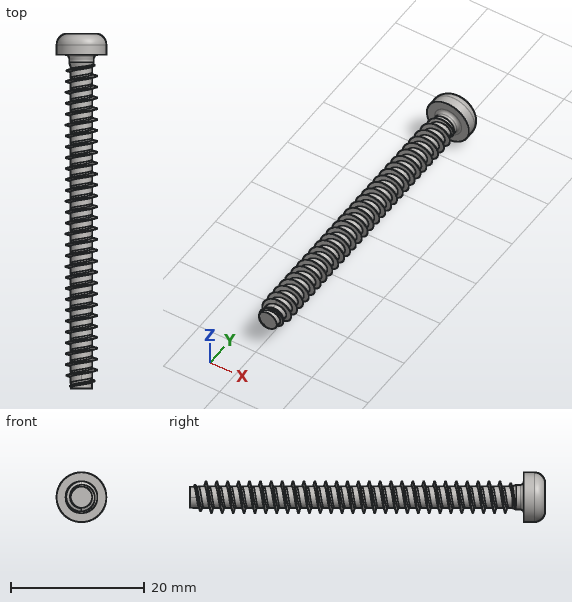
import cadquery as cq
import math

total_length = 53.2

head_diameter = 7.5
head_radius = head_diameter / 2
head_height = 3.2
head_rim_height = 1.55
head_flat_radius = 2.45

neck_radius = 1.85
neck_fillet = 0.55
neck_length = 1.1
neck_cone_length = 0.8

shank_length = total_length - head_height
core_radius = 1.6
land_radius = 1.65
land_gap = 0.55

crest_radius = 2.4
crest_width = 0.025
root_radius = 1.45
flank_angle = 15.0
thread_start = 1.1
thread_end_angle = 90.0
thread_length = 48.95
bare_fade_turns = 1.0
landed_fade_turns = 0.5
full_turns = 27.5
head_fade_turns = 1.0
tip_fade_radius = 1.6
head_fade_radius = 1.85
tip_fade_turns = bare_fade_turns + landed_fade_turns
fade_join_radius = tip_fade_radius + (crest_radius - tip_fade_radius) * bare_fade_turns / tip_fade_turns
pitch = thread_length / (tip_fade_turns + full_turns + head_fade_turns)

tip_level = -shank_length
thread_bottom = -thread_start - thread_length


def helix(start_radius, end_radius, turns, height):
    """Right-handed helix edge rising from `height`, on a cylinder or a cone."""
    rise = turns * pitch
    axis_start = cq.Vector(0, 0, height)
    if start_radius == end_radius:
        wire = cq.Wire.makeHelix(pitch, rise, start_radius, axis_start)
    else:
        half_angle = math.atan2(end_radius - start_radius, rise)
        slant = 1 / math.cos(half_angle)
        wire = cq.Wire.makeHelix(
            pitch * slant, rise * slant, start_radius, axis_start, angle=math.degrees(half_angle)
        )
    return wire.Edges()[0]


def rib(profile, turns):
    """Solid swept along the helix; each profile corner is (start radius, end radius, height)."""
    edges = [helix(start, end, turns, height) for start, end, height in profile]
    faces = []
    for edge, next_edge in zip(edges, edges[1:] + edges[:1]):
        faces.append(cq.Face.makeRuledSurface(edge, next_edge))
    for at_end in (0, 1):
        corners = [edge.positionAt(at_end) for edge in edges]
        faces.append(cq.Face.makeFromWires(cq.Wire.makePolygon(corners, close=True)))
    shell = cq.Shell.makeShell(faces)
    return cq.Workplane(cq.Solid.makeSolid(shell).fix())


def half_width(radius):
    """Half the thickness of the full thread at a given radius."""
    return crest_width / 2 + (crest_radius - radius) * math.tan(math.radians(flank_angle))


def thread_segment(start_crest, end_crest, turns, with_land=True):
    """Ridge whose crest goes from one radius to another, with the land on its tip side."""
    ridge = [
        (start_crest, end_crest, -crest_width / 2),
        (start_crest, end_crest, crest_width / 2),
        (root_radius, root_radius, half_width(root_radius)),
    ]
    if with_land:
        foot = [
            (root_radius, root_radius, land_gap - pitch),
            (land_radius, land_radius, land_gap - pitch),
            (land_radius, land_radius, -half_width(land_radius)),
        ]
    else:
        foot = [(root_radius, root_radius, -half_width(root_radius))]
    return rib(foot + ridge, turns)


def place(segment, turns_from_bottom):
    """Turn and lift a ridge to its place along the thread."""
    angle = thread_end_angle + 360 * turns_from_bottom
    level = thread_bottom + pitch * turns_from_bottom
    return segment.rotate((0, 0, 0), (0, 0, 1), angle).translate((0, 0, level))


def body():
    """Head, neck and core, turned in one piece."""
    rise = head_height - head_rim_height
    inset = head_radius - head_flat_radius
    dome_radius = (rise**2 + inset**2) / (2 * inset)
    half_sweep = math.asin(rise / dome_radius) / 2
    dome_middle = (
        head_radius - dome_radius * (1 - math.cos(half_sweep)),
        head_rim_height + dome_radius * math.sin(half_sweep),
    )
    fillet_reach = neck_fillet * math.sin(math.radians(45))
    fillet_middle = (neck_radius + neck_fillet - fillet_reach, -neck_fillet + fillet_reach)
    return (
        cq.Workplane("XZ")
        .moveTo(0, tip_level)
        .lineTo(core_radius, tip_level)
        .lineTo(core_radius, -neck_length - neck_cone_length)
        .lineTo(neck_radius, -neck_length)
        .lineTo(neck_radius, -neck_fillet)
        .threePointArc(fillet_middle, (neck_radius + neck_fillet, 0))
        .lineTo(head_radius, 0)
        .lineTo(head_radius, head_rim_height)
        .threePointArc(dome_middle, (head_flat_radius, head_height))
        .lineTo(0, head_height)
        .close()
        .revolve(360, (0, 0, 0), (0, 1, 0))
    )


def thread():
    """The stretches of the thread, fading out at both ends and cut off level with the tip."""
    below_tip = cq.Workplane("XY", (0, 0, tip_level)).circle(head_radius).extrude(-pitch)
    bare_fade = thread_segment(tip_fade_radius, fade_join_radius, bare_fade_turns, with_land=False)
    landed_fade = thread_segment(fade_join_radius, crest_radius, landed_fade_turns)
    full = thread_segment(crest_radius, crest_radius, full_turns)
    head_fade = thread_segment(crest_radius, head_fade_radius, head_fade_turns)
    return [
        place(bare_fade, 0).cut(below_tip),
        place(landed_fade, bare_fade_turns),
        place(full, tip_fade_turns),
        place(head_fade, tip_fade_turns + full_turns),
    ]


screw = body()
for segment in thread():
    screw = screw.union(segment)

result = screw.rotate((0, 0, 0), (1, 0, 0), -90)